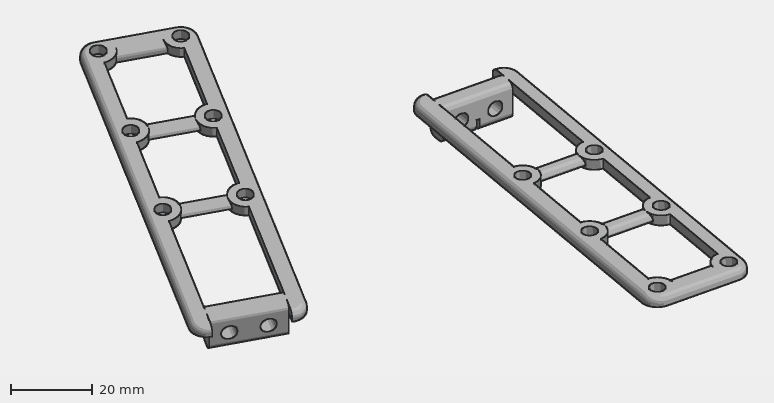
import cadquery as cq

length = 110.0
width = 30.0
thickness = 3.0
corner_radius = 4.5
edge_round = 2.0
window_width = 20.4
left_bar_width = 6.7

hole_diameter = 4.2
boss_radius = corner_radius
hole_x_positions = (corner_radius, 34.9, 64.9)
hole_y = width / 2 - corner_radius

rib_centres = hole_x_positions[1:]
rib_widths = (4.7, 4.4)
rib_round = 2.0

total_height = 10.6
block_start = 100.9
block_length = 6.0
block_hole_spacing = 10.0
block_hole_depth = 5.5
slot_width = 1.0
slot_height = 3.6
slot_depth = 2.0


def block(x_start, x_size, y_size, z_start, z_size):
    """Box centred on Y, placed by its low X and Z sides."""
    return cq.Workplane("XY").box(x_size, y_size, z_size, centered=(False, True, False)).translate(
        (x_start, 0, z_start)
    )


def outer_plate():
    """Plate with rounded corners and a rounded top edge."""
    plate = block(0, length, width, 0, thickness).edges("|Z").fillet(corner_radius)
    return plate.faces(">Z").edges().fillet(edge_round)


def cross_rib(centre, rib_width):
    """Raised bar across the window, as tall as the rounds on its long top edges."""
    side = rib_width / 2
    flat = side - rib_round
    underside = thickness - rib_round
    profile = (
        cq.Workplane("XZ", origin=(centre, window_width / 2, 0))
        .moveTo(-side, underside)
        .radiusArc((-flat, thickness), rib_round)
        .lineTo(flat, thickness)
        .radiusArc((side, underside), rib_round)
        .close()
    )
    return profile.extrude(window_width)


def hanging_block():
    """Rounded block with two lengthwise holes and a slot in its inner face."""
    body = block(block_start, block_length, window_width, thickness - total_height, total_height)
    body = body.edges("|Y").fillet(edge_round)
    holes = (
        cq.Workplane("YZ", origin=(block_start, 0, thickness - block_hole_depth))
        .pushPoints([(-block_hole_spacing / 2, 0), (block_hole_spacing / 2, 0)])
        .circle(hole_diameter / 2)
        .extrude(block_length)
    )
    slot = block(block_start, slot_depth, slot_width, thickness - total_height, slot_height)
    return body.cut(holes).cut(slot)


hole_points = [(x, side * hole_y) for x in hole_x_positions for side in (-1, 1)]

plate = outer_plate()
window = block(left_bar_width, length, window_width, 0, thickness)
frame = plate.cut(window)
inner_bar_edge = cq.selectors.NearestToPointSelector((left_bar_width, 0, thickness))
frame = frame.edges(inner_bar_edge).fillet(rib_round)
for centre, rib_width in zip(rib_centres, rib_widths):
    frame = frame.union(cross_rib(centre, rib_width))

bosses = cq.Workplane("XY").pushPoints(hole_points).circle(boss_radius).extrude(thickness)
frame = frame.union(bosses.intersect(plate))
frame = frame.union(hanging_block())

screw_holes = cq.Workplane("XY").pushPoints(hole_points).circle(hole_diameter / 2).extrude(thickness)
result = frame.cut(screw_holes)